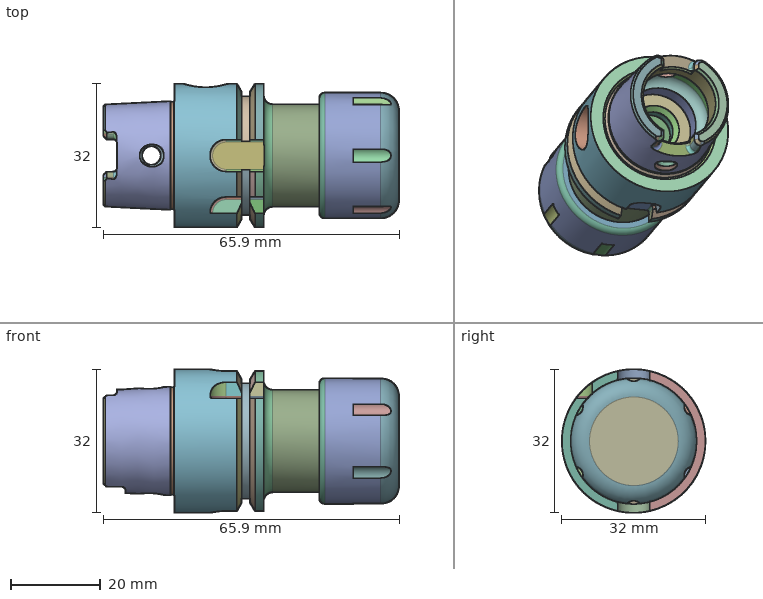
import cadquery as cq
import math

total_length = 65.9
flange_radius = 16.0
flange_start = 15.9
flange_end = 35.8
nut_start = 48.1

taper_end = 14.9
taper_front_radius = 11.4
taper_back_radius = 12.1
taper_chamfer = 0.45
relief_radius = 12.0
relief_length = 0.2
face_groove_inner_radius = 12.2
face_groove_outer_radius = 13.1
face_groove_bottom_radius = 12.6
face_groove_depth = 0.4

vee_start = 29.8
vee_end = 33.8
vee_floor_start = 30.85
vee_floor_end = 32.7
vee_floor_radius = 13.25
vee_flank_angle = 60
vee_drop = (vee_floor_start - vee_start) * math.tan(math.radians(vee_flank_angle))
neck_radius = 11.45
neck_fillet = 1.9

bore_radius = 8.45
bore_chamfer = 0.6
bore_shoulder_start = 6.2
cavity_radius = 10.2
bore_shoulder_angle = 60
bore_shoulder_length = (cavity_radius - bore_radius) / math.tan(math.radians(bore_shoulder_angle))
bore_shoulder_end = bore_shoulder_start + bore_shoulder_length
cavity_end = 12.05
rear_bore_radius = 8.0
cavity_fillet = cavity_radius - rear_bore_radius
rear_shoulder_end = cavity_end + cavity_fillet
rear_bore_end = 18.45
pocket_mouth_radius = 5.35
pocket_radius = 4.2
pocket_chamfer = pocket_mouth_radius - pocket_radius
pocket_end = 21.75

drive_slot_half_width = 3.55
drive_slot_ledge = 10.2
drive_slot_edge_radius = 1.3
drive_slot_floor_fillet = 0.8
drive_slot_chamfer = 0.8
bore_edge_bevel = 0.4
top_slot_depth = 3.0
bottom_slot_depth = 4.95

access_hole_x = 10.75
access_hole_radius = 2.05
access_sink_radius = 2.8

keyway_start = 23.8
keyway_width = 7.1
keyway_floor = 12.85
keyway_fillet = 0.5
notch_floor = 9.5
notch_center_y = -12.8
chip_hole_x = 22.8
chip_hole_radius = 4.95
chip_hole_depth = 4.6

nut_radius = 14.05
nut_back_fillet = 1.25
nut_front_fillet = 4.15
nut_slot_count = 6
nut_slot_start = 55.7
nut_slot_half_width = 1.5
nut_slot_depth = 0.7

clearance = 2.0


def revolve_about_x(profile):
    return profile.close().revolve(360, (0, 0, 0), (1, 0, 0))


def holder_blank():
    """Taper, flange with V-groove, and neck turned as one profile."""
    profile = (
        cq.Workplane("XY")
        .moveTo(0, 0)
        .lineTo(0, taper_front_radius - taper_chamfer)
        .lineTo(taper_chamfer, taper_front_radius)
        .lineTo(taper_end, taper_back_radius)
        .lineTo(taper_end + relief_length, relief_radius)
        .lineTo(flange_start - relief_length, relief_radius)
        .lineTo(flange_start, face_groove_inner_radius)
        .lineTo(flange_start + face_groove_depth, face_groove_bottom_radius)
        .lineTo(flange_start, face_groove_outer_radius)
        .lineTo(flange_start, flange_radius)
        .lineTo(vee_start, flange_radius)
        .lineTo(vee_floor_start, flange_radius - vee_drop)
        .lineTo(vee_floor_start, vee_floor_radius)
        .lineTo(vee_floor_end, vee_floor_radius)
        .lineTo(vee_floor_end, flange_radius - vee_drop)
        .lineTo(vee_end, flange_radius)
        .lineTo(flange_end, flange_radius)
        .lineTo(flange_end, neck_radius + neck_fillet)
        .radiusArc((flange_end + neck_fillet, neck_radius), -neck_fillet)
        .lineTo(nut_start, neck_radius)
        .lineTo(nut_start, 0)
    )
    return revolve_about_x(profile)


def shank_bore():
    """Chamfered mouth, undercut cavity with a rounded end, rear bore and centre pocket."""
    profile = (
        cq.Workplane("XY")
        .moveTo(0, 0)
        .lineTo(0, bore_radius + bore_chamfer)
        .lineTo(bore_chamfer, bore_radius)
        .lineTo(bore_shoulder_start, bore_radius)
        .lineTo(bore_shoulder_end, cavity_radius)
        .lineTo(cavity_end, cavity_radius)
        .radiusArc((rear_shoulder_end, rear_bore_radius), cavity_fillet)
        .lineTo(rear_bore_end, rear_bore_radius)
        .lineTo(rear_bore_end, pocket_mouth_radius)
        .lineTo(rear_bore_end + pocket_chamfer, pocket_radius)
        .lineTo(pocket_end, pocket_radius)
        .lineTo(pocket_end, 0)
    )
    return revolve_about_x(profile)


def drive_slot_section(x, growth):
    """Slot outline at X = x: a narrow channel that opens over rounded edges onto two ledges."""
    half_width = drive_slot_half_width + growth
    ledge = drive_slot_ledge - growth
    edge = drive_slot_edge_radius - growth
    side = taper_back_radius + clearance
    inner = bore_radius - clearance
    return (
        cq.Workplane("YZ", origin=(x, 0, 0))
        .moveTo(-half_width, inner)
        .lineTo(half_width, inner)
        .lineTo(half_width, ledge - edge)
        .radiusArc((half_width + edge, ledge), edge)
        .lineTo(side, ledge)
        .lineTo(side, side)
        .lineTo(-side, side)
        .lineTo(-side, ledge)
        .lineTo(-half_width - edge, ledge)
        .radiusArc((-half_width, ledge - edge), edge)
        .close()
    )


def bore_edge_break(depth):
    """Bevel along the bore edge at the floor of a drive slot."""
    ring = revolve_about_x(
        cq.Workplane("XY")
        .moveTo(0, 0)
        .lineTo(0, bore_radius + bore_edge_bevel)
        .lineTo(depth, bore_radius + bore_edge_bevel)
        .lineTo(depth + bore_edge_bevel, bore_radius)
        .lineTo(depth + bore_edge_bevel, 0)
    )
    window = (
        cq.Workplane("XY")
        .rect(2 * (depth + clearance), 2 * drive_slot_half_width)
        .extrude(flange_radius)
    )
    return ring.intersect(window)


def drive_slot(depth):
    channel = drive_slot_section(0, 0).extrude(depth).faces(">X").edges().fillet(drive_slot_floor_fillet)
    wide_wire = drive_slot_section(0, drive_slot_chamfer).wire().val()
    narrow_wire = drive_slot_section(drive_slot_chamfer, 0).wire().val()
    mouth = cq.Solid.makeLoft([wide_wire, narrow_wire], True)
    return channel.union(cq.Workplane(mouth)).union(bore_edge_break(depth))


def access_holes():
    """One hole straight through the shank along Z, countersunk at both ends."""
    reach = taper_back_radius + clearance
    sink_depth = access_sink_radius - access_hole_radius
    surface = taper_front_radius + (taper_back_radius - taper_front_radius) * access_hole_x / taper_end
    side = (
        cq.Workplane("XZ")
        .moveTo(0, -reach)
        .lineTo(access_sink_radius, -reach)
        .lineTo(access_sink_radius, -surface)
        .lineTo(access_hole_radius, -surface + sink_depth)
        .lineTo(access_hole_radius, surface - sink_depth)
        .lineTo(access_sink_radius, surface)
        .lineTo(access_sink_radius, reach)
        .lineTo(0, reach)
        .close()
    )
    return side.revolve(360, (0, 0, 0), (0, 1, 0)).translate((access_hole_x, 0, 0))


def round_ended_slot(center_y, floor):
    """Upward-open slot along X with a round closed end and a filleted floor."""
    end_radius = keyway_width / 2
    length = flange_end + neck_fillet - keyway_start + end_radius
    height = flange_radius + clearance - floor
    return (
        cq.Workplane("XY", origin=(keyway_start + length / 2, center_y, floor))
        .slot2D(length, keyway_width)
        .extrude(height)
        .faces("<Z")
        .edges()
        .fillet(keyway_fillet)
    )


def chip_hole():
    plane = cq.Workplane("XZ", origin=(chip_hole_x, flange_radius - chip_hole_depth, 0))
    return plane.circle(chip_hole_radius).extrude(-(chip_hole_depth + clearance))


def flip_about_x(shape):
    return shape.rotate((0, 0, 0), (1, 0, 0), 180)


def make_holder():
    keyway = round_ended_slot(0, keyway_floor)
    return (
        holder_blank()
        .cut(shank_bore())
        .cut(drive_slot(top_slot_depth))
        .cut(flip_about_x(drive_slot(bottom_slot_depth)))
        .cut(access_holes())
        .cut(keyway)
        .cut(flip_about_x(keyway))
        .cut(round_ended_slot(notch_center_y, notch_floor))
        .cut(chip_hole())
    )


def make_nut():
    """Round nut with six shallow wrench slots open toward its rounded front."""
    nut = (
        cq.Workplane("YZ", origin=(nut_start, 0, 0))
        .circle(nut_radius)
        .extrude(total_length - nut_start)
        .faces("<X").edges().fillet(nut_back_fillet)
        .faces(">X").edges().fillet(nut_front_fillet)
    )
    slot_radius = (nut_slot_half_width**2 + nut_slot_depth**2) / (2 * nut_slot_depth)
    slot = (
        cq.Workplane("YZ", origin=(nut_slot_start, 0, 0))
        .center(0, nut_radius - nut_slot_depth + slot_radius)
        .circle(slot_radius)
        .extrude(total_length - nut_slot_start)
    )
    for index in range(nut_slot_count):
        nut = nut.cut(slot.rotate((0, 0, 0), (1, 0, 0), index * 360 / nut_slot_count))
    return nut


holder = make_holder()
nut = make_nut()

result = cq.Compound.makeCompound([holder.val(), nut.val()])